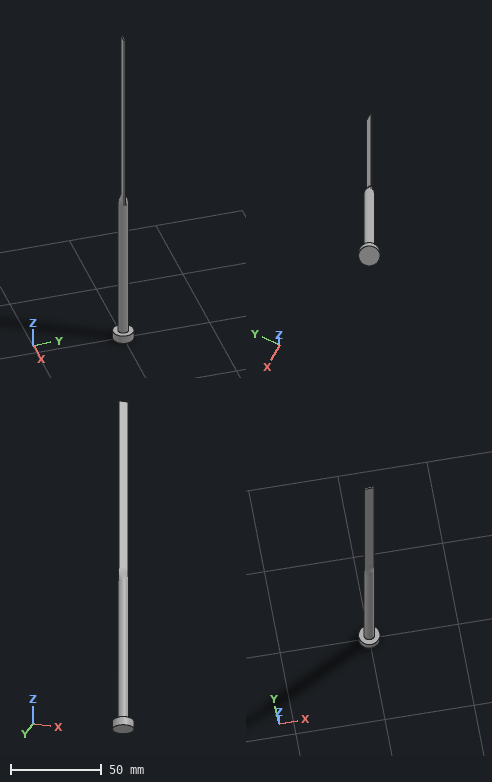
import cadquery as cq
import math

head_diameter = 12.0
head_thickness = 5.0

shaft_diameter = 6.0
shaft_radius = shaft_diameter / 2
shaft_top = 90.0

overall_length = 200.0
blade_width = 5.5
blade_thickness = 1.0
blade_base = 100.0

shoulder_length = blade_base - shaft_top
shoulder_steps = 6
shaft_tangent_length = 4.0
blade_tangent_length = 7.0


def blend(start, end, share):
    return start + (end - start) * share


def make_disc(radius, bottom, top):
    return cq.Workplane("XY", origin=(0, 0, bottom)).circle(radius).extrude(top - bottom)


def shoulder_height(fraction):
    """Cubic Bezier height above the shaft top; the tangent reaches keep each end straighter."""
    rest = 1 - fraction
    near_shaft = 3 * rest * rest * fraction * shaft_tangent_length
    near_blade = 3 * rest * fraction * fraction * (shoulder_length - blade_tangent_length)
    return near_shaft + near_blade + shoulder_length * fraction ** 3


def shoulder_section(step):
    """Closed outline part-way between the shaft circle and the blade rectangle."""
    fraction = step / shoulder_steps
    share = fraction * fraction * (3 - 2 * fraction)
    corner_angle = math.atan2(blade_thickness, blade_width)
    corner_x = blend(shaft_radius * math.cos(corner_angle), blade_width / 2, share)
    corner_y = blend(shaft_radius * math.sin(corner_angle), blade_thickness / 2, share)
    middle_x = blend(shaft_radius, blade_width / 2, share)
    middle_y = blend(shaft_radius, blade_thickness / 2, share)
    outline = cq.Workplane("XY", origin=(0, 0, shaft_top + shoulder_height(fraction)))
    outline = outline.moveTo(corner_x, -corner_y)
    if step == shoulder_steps:
        outline = outline.lineTo(corner_x, corner_y).lineTo(-corner_x, corner_y)
        outline = outline.lineTo(-corner_x, -corner_y)
        return outline.close().val()
    outline = outline.threePointArc((middle_x, 0), (corner_x, corner_y))
    outline = outline.threePointArc((0, middle_y), (-corner_x, corner_y))
    outline = outline.threePointArc((-middle_x, 0), (-corner_x, -corner_y))
    outline = outline.threePointArc((0, -middle_y), (corner_x, -corner_y))
    return outline.wire().val()


def make_shoulder():
    sections = [shoulder_section(step) for step in range(shoulder_steps + 1)]
    return cq.Workplane(cq.Solid.makeLoft(sections))


def make_blade():
    profile = cq.Workplane("XY", origin=(0, 0, blade_base)).rect(blade_width, blade_thickness)
    return profile.extrude(overall_length - blade_base)


head = make_disc(head_diameter / 2, 0, head_thickness)
shaft = make_disc(shaft_radius, head_thickness, shaft_top)
result = head.union(shaft).union(make_shoulder()).union(make_blade())